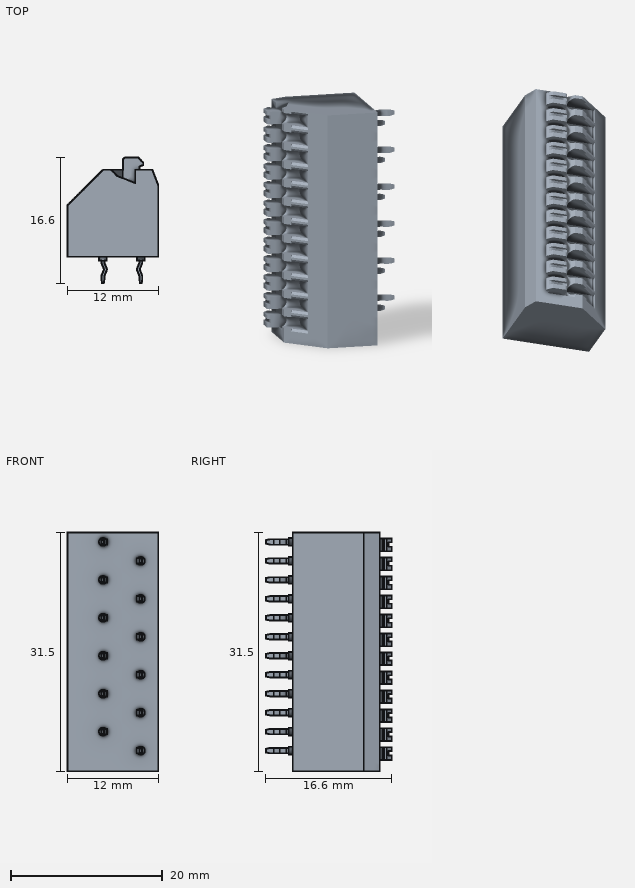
import cadquery as cq
import math

body_width = 12.0
body_height = 11.5
body_length = 31.5
front_chamfer = 4.7
back_slope_width = 0.8
back_slope_height = 2.1

pole_count = 12
pole_pitch = 2.5
end_plate = body_length - pole_count * pole_pitch

channel_front = 5.75
channel_ramp = 0.85
channel_back = 8.93
channel_depth = 1.77

slot_width = 1.6
slot_back = channel_front + channel_ramp
slot_depth = 2.6
mouth_width = 2.2
mouth_top = 0.75

lever_front = 7.3
lever_back = 9.53
lever_rise = 1.6
lever_thickness = 1.7
lever_round = 0.4
nose_flat_end = 9.35
nose_tip = 10.0
nose_upper_drop = 0.7
nose_lower_drop = 1.0
nose_root_drop = 1.2
lever_notch_depth = 0.42
lever_notch_width = 0.55
lever_notch_base = 0.63

pin_front_x = 4.68
pin_column_spacing = 5.0
pin_length = 3.5
collar_diameter = 1.05
collar_length = 0.5
collar_embed = 0.2
pin_thickness = 0.42
pin_width = 0.75
pin_kink = 0.35
kink_start = 0.8
kink_middle = 1.65
kink_end = 2.5
tip_start = 2.95
tip_thickness = 0.25
tip_width = 0.5


def make_housing():
    return (
        cq.Workplane("XY")
        .moveTo(0, 0)
        .lineTo(body_width, 0)
        .lineTo(body_width, body_height - back_slope_height)
        .lineTo(body_width - back_slope_width, body_height)
        .lineTo(front_chamfer, body_height)
        .lineTo(0, body_height - front_chamfer)
        .close()
        .extrude(body_length)
    )


def make_channel():
    return (
        cq.Workplane("XY", origin=(0, 0, end_plate))
        .moveTo(channel_front, body_height)
        .lineTo(channel_front + channel_ramp, body_height - channel_ramp)
        .lineTo(channel_back, body_height - channel_depth)
        .lineTo(channel_back, body_height)
        .close()
        .extrude(body_length - end_plate)
    )


def make_wire_slot(z_center):
    """Upright slot with a round back, open through the chamfer face."""
    radius = slot_width / 2
    slot = (
        cq.Workplane("XZ", origin=(0, body_height, z_center))
        .moveTo(0, -radius)
        .lineTo(slot_back - radius, -radius)
        .threePointArc((slot_back, 0), (slot_back - radius, radius))
        .lineTo(0, radius)
        .close()
        .extrude(slot_depth)
    )
    return slot.union(make_slot_mouth(z_center))


def make_slot_mouth(z_center):
    """45 degree bevels along both long edges of the slot, running down the chamfer."""
    bevel = (mouth_width - slot_width) / 2
    run = (slot_depth - mouth_top) * math.sqrt(2)
    start = (front_chamfer - mouth_top, body_height - mouth_top, z_center)
    down_chamfer = cq.Plane(origin=start, xDir=(0, 0, -1), normal=(-1, -1, 0))
    return (
        cq.Workplane(down_chamfer)
        .moveTo(-mouth_width / 2, 0)
        .lineTo(mouth_width / 2, 0)
        .lineTo(slot_width / 2, bevel)
        .lineTo(-slot_width / 2, bevel)
        .close()
        .extrude(run)
    )


def make_lever(z_base):
    top = body_height + lever_rise
    floor = body_height - channel_depth
    arc_inset = lever_round * (1 - math.sqrt(0.5))
    lever = (
        cq.Workplane("XY", origin=(0, 0, z_base))
        .moveTo(lever_front, floor)
        .lineTo(lever_front, top - lever_round)
        .threePointArc((lever_front + arc_inset, top - arc_inset), (lever_front + lever_round, top))
        .lineTo(nose_flat_end, top)
        .lineTo(nose_tip, top - nose_upper_drop)
        .lineTo(nose_tip, top - nose_lower_drop)
        .lineTo(lever_back, top - nose_root_drop)
        .lineTo(lever_back, floor)
        .close()
        .extrude(lever_thickness)
    )
    notch = cq.Workplane("XY").box(
        nose_tip - lever_front, lever_notch_depth, lever_notch_width, centered=False
    )
    return lever.cut(
        notch.translate((lever_front, top - lever_notch_depth, z_base + lever_notch_base))
    )


def make_pin(x_center, z_center, kink):
    """Round collar, flat kinked blade and tapered tip, hanging below the housing."""
    collar = (
        cq.Workplane("XZ", origin=(x_center, collar_embed, z_center))
        .circle(collar_diameter / 2)
        .extrude(collar_length + collar_embed)
    )
    center_line = [
        (0, 0),
        (0, -kink_start),
        (kink, -kink_middle),
        (0, -kink_end),
        (0, -tip_start),
    ]
    half = pin_thickness / 2
    left_edge = [(x - half, y) for x, y in center_line]
    right_edge = [(x + half, y) for x, y in reversed(center_line)]
    blade = (
        cq.Workplane("XY", origin=(x_center, 0, z_center))
        .polyline(left_edge + right_edge)
        .close()
        .extrude(pin_width / 2, both=True)
    )
    tip = (
        cq.Workplane("XZ", origin=(x_center, -tip_start, z_center))
        .rect(pin_thickness, pin_width)
        .workplane(offset=pin_length - tip_start)
        .rect(tip_thickness, tip_width)
        .loft(combine=True)
    )
    return collar.union(blade).union(tip)


result = make_housing().cut(make_channel())

for pole in range(pole_count):
    pole_base = end_plate + pole * pole_pitch
    result = result.cut(make_wire_slot(pole_base + pole_pitch / 2))

for pole in range(pole_count):
    pole_base = end_plate + pole * pole_pitch
    pole_center = pole_base + pole_pitch / 2
    result = result.union(make_lever(pole_base))
    if pole % 2 == 0:
        pin = make_pin(pin_front_x + pin_column_spacing, pole_center, -pin_kink)
    else:
        pin = make_pin(pin_front_x, pole_center, pin_kink)
    result = result.union(pin)